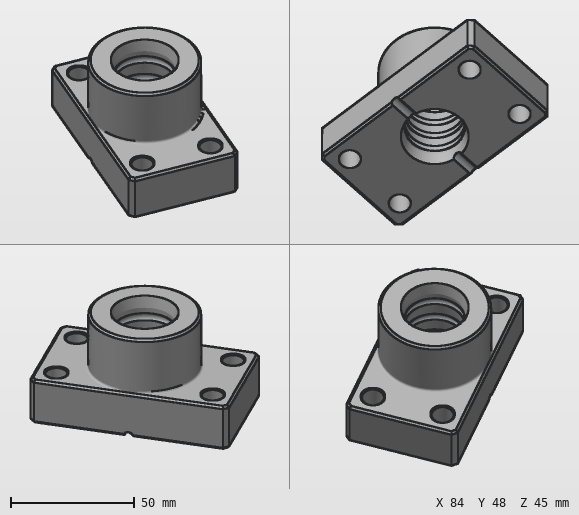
import cadquery as cq

length = 84.0
width = 48.0
total_height = 45.0
flange_height = 20.0
edge_chamfer = 1.0
corner_chamfer = 2.0

boss_edge_margin = 0.01
boss_radius = width / 2 - edge_chamfer - boss_edge_margin
boss_height = total_height - flange_height
neck_fillet = edge_chamfer

hole_spacing_x = 66.0
hole_spacing_y = 30.0
hole_diameter = 9.0
hole_mouth_chamfer = 0.5

bore_radius = 12.35
mouth_radius = 13.8
lead_in_depth = 4.95
groove_half_width = 1.7
groove_depth = 0.8
groove_count = 4
groove_pitch = total_height / (groove_count + 1)

channel_radius = 2.0


def make_flange():
    block = cq.Workplane("XY").box(length, width, flange_height, centered=(True, True, False))
    block = block.edges("|Z").chamfer(corner_chamfer)
    block = block.faces("<Z or >Z").edges().chamfer(edge_chamfer)
    channel = cq.Workplane("XZ").circle(channel_radius).extrude(width, both=True)
    return block.cut(channel)


def make_boss():
    return (
        cq.Workplane("XY", origin=(0, 0, flange_height))
        .circle(boss_radius)
        .extrude(boss_height)
        .faces(">Z")
        .edges()
        .chamfer(edge_chamfer)
    )


def join_with_neck_fillet(flange, boss):
    body = flange.union(boss)
    neck_edge = body.edges("%CIRCLE").edges(
        cq.selectors.BoxSelector(
            (-length, -width, flange_height - edge_chamfer / 2),
            (length, width, flange_height + edge_chamfer / 2),
        )
    )
    return neck_edge.fillet(neck_fillet)


def make_bore():
    profile = cq.Workplane("XZ").lineTo(mouth_radius, 0).lineTo(bore_radius, lead_in_depth)
    for number in range(1, groove_count + 1):
        groove_z = number * groove_pitch
        profile = profile.lineTo(bore_radius, groove_z - groove_half_width).threePointArc(
            (bore_radius + groove_depth, groove_z),
            (bore_radius, groove_z + groove_half_width),
        )
    return (
        profile.lineTo(bore_radius, total_height - lead_in_depth)
        .lineTo(mouth_radius, total_height)
        .lineTo(0, total_height)
        .close()
        .revolve(360, (0, 0, 0), (0, 1, 0))
    )


def make_mounting_holes():
    hole_radius = hole_diameter / 2
    hole_mouth_radius = hole_radius + hole_mouth_chamfer
    hole = (
        cq.Workplane("XZ")
        .lineTo(hole_radius, 0)
        .lineTo(hole_radius, flange_height - hole_mouth_chamfer)
        .lineTo(hole_mouth_radius, flange_height)
        .lineTo(0, flange_height)
        .close()
        .revolve(360, (0, 0, 0), (0, 1, 0))
        .val()
    )
    return (
        cq.Workplane("XY")
        .rect(hole_spacing_x, hole_spacing_y, forConstruction=True)
        .vertices()
        .eachpoint(lambda location: hole.moved(location))
    )


body = join_with_neck_fillet(make_flange(), make_boss())
result = body.cut(make_bore()).cut(make_mounting_holes())